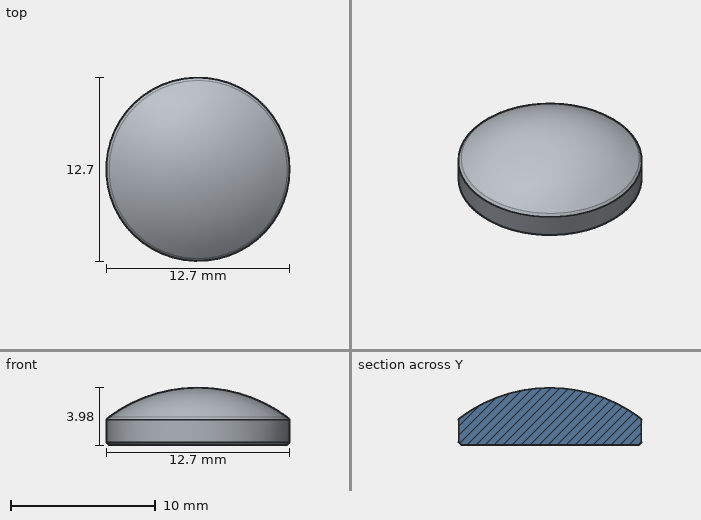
import cadquery as cq
import math

diameter = 12.7
height = 3.98
edge_top = 1.94
chamfer = 0.19

radius = diameter / 2
cap_rim_radius = radius - chamfer
cap_rise = height - edge_top
sphere_radius = (cap_rim_radius**2 + cap_rise**2) / (2 * cap_rise)

mid_x = cap_rim_radius / 2
mid_z = height - sphere_radius + math.sqrt(sphere_radius**2 - mid_x**2)

profile = (
    cq.Workplane("XZ")
    .moveTo(0, 0)
    .lineTo(radius - chamfer, 0)
    .lineTo(radius, chamfer)
    .lineTo(radius, edge_top - chamfer)
    .lineTo(cap_rim_radius, edge_top)
    .threePointArc((mid_x, mid_z), (0, height))
    .close()
)

result = profile.revolve(360, (0, 0, 0), (0, 1, 0))